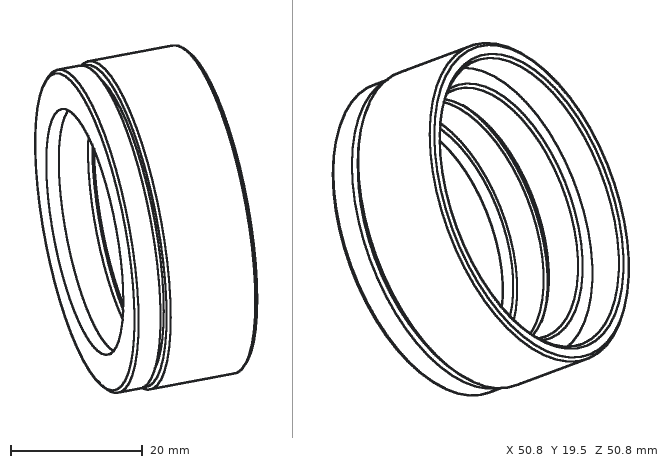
import cadquery as cq

length = 19.5
body_radius = 25.4
flange_radius = 25.0
flange_width = 4.0
edge_chamfer = 0.5

outer_groove_width = 1.0
outer_groove_radius = 23.5

lip_radius = 19.0
lip_width = 2.0
bore_radius = 20.0
counterbore_radius = 23.0
counterbore_depth = 5.5

inner_groove_start = 7.0
inner_groove_width = 1.0
inner_groove_radius = 21.0


def disc(radius, start, width):
    """Solid disc about the Y axis, from y = start towards the back."""
    return cq.Workplane("XZ", origin=(0, start, 0)).circle(radius).extrude(-width)


def countersink(radius, end):
    """Cone that chamfers the back edge of a hole ending at y = end."""
    plane = cq.Workplane("XZ", origin=(0, end, 0))
    return plane.circle(radius + edge_chamfer).extrude(edge_chamfer, taper=45)


def make_outside():
    """Flange with its front edge chamfered, groove floor, and body chamfered at both ends."""
    body_start = flange_width + outer_groove_width
    flange = disc(flange_radius, 0, flange_width).faces("<Y").chamfer(edge_chamfer)
    groove_floor = disc(outer_groove_radius, flange_width, outer_groove_width)
    body = disc(body_radius, body_start, length - body_start)
    body = body.faces("<Y or >Y").chamfer(edge_chamfer)
    return flange.union(groove_floor).union(body)


def cut_inside(part):
    """Lip opening, bore, bore groove and counterbore, with chamfered back edges."""
    part = part.cut(disc(lip_radius, 0, length))
    part = part.cut(disc(bore_radius, lip_width, length - lip_width))
    part = part.cut(disc(inner_groove_radius, inner_groove_start, inner_groove_width))
    counterbore_start = length - counterbore_depth
    part = part.cut(disc(counterbore_radius, counterbore_start, counterbore_depth))
    part = part.cut(countersink(bore_radius, counterbore_start))
    return part.cut(countersink(counterbore_radius, length))


result = cut_inside(make_outside())